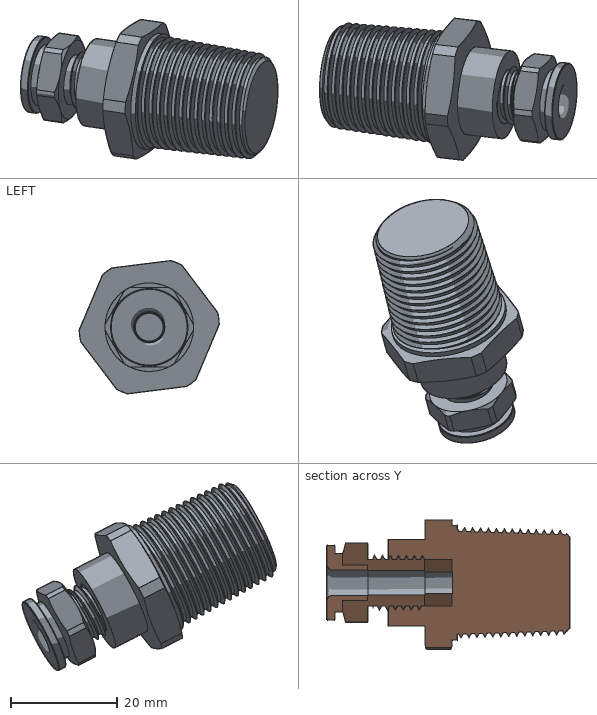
import cadquery as cq
import math

overall_length = 45.9
flange_length = 1.6
sleeve_neck_end = 3.05
stem_head_end = 7.8
stem_thread_start = 8.7
collar_start = 11.6
body_hex_start = 18.55
body_hex_end = 23.7
shoulder_end = 24.65
sleeve_end = stem_head_end
stem_end = body_hex_start
pocket_end = body_hex_end

flange_diameter = 14.6
flange_chamfer = 0.15
neck_diameter = 11.65
sleeve_tube_diameter = 7.6
sleeve_bore = 5.85
sleeve_mouth_radius = 1.0

stem_hex_flats = 15.0
stem_hex_corners = 16.7
stem_front_bevel_angle = 15.0
stem_rear_bevel_angle = 30.0
stem_diameter = 9.5
stem_bore = 5.65
stem_first_crest = 9.15

collar_diameter = 16.7
body_hex_flats = 23.95
body_hex_corners = 26.45
body_hex_face_diameter = 23.8
body_hex_bevel_angle = 15.0
body_hex_tilt = 7.1
shoulder_diameter = 22.05
taper_root_diameter = 19.77
taper_per_side = 1 / 32
end_chamfer = 0.4
body_first_crest = 26.05
seal_bore = 5.28

thread_span = 18.05
thread_span_turns = 12
thread_pitch = thread_span / thread_span_turns
thread_depth = 0.75
thread_crest_width = 0.05
thread_flank_angle = 30.0
thread_embed = 0.15


def axial_cylinder(x_start, x_end, diameter):
    """Cylinder on the X axis between two stations."""
    return cq.Workplane("YZ", origin=(x_start, 0, 0)).circle(diameter / 2).extrude(x_end - x_start)


def revolved(profile):
    """Solid of revolution about X from a list of (x, radius) points."""
    return cq.Workplane("XY").polyline(profile).close().revolve(360, (0, 0, 0), (1, 0, 0))


def bevelled_hex(x_start, x_end, flats, corners, front, rear, tilt):
    """Hexagon bar with turned corners; front and rear are (face diameter, bevel angle) pairs."""
    across_points = flats / math.cos(math.radians(30))
    hexagon = (
        cq.Workplane("YZ", origin=(x_start, 0, 0))
        .polygon(6, across_points)
        .extrude(x_end - x_start)
        .rotate((0, 0, 0), (1, 0, 0), tilt)
    )
    corner_radius = corners / 2
    front_radius = front[0] / 2
    rear_radius = rear[0] / 2
    front_bevel = (corner_radius - front_radius) * math.tan(math.radians(front[1]))
    rear_bevel = (corner_radius - rear_radius) * math.tan(math.radians(rear[1]))
    turned_blank = revolved([
        (x_start, 0),
        (x_start, front_radius),
        (x_start + front_bevel, corner_radius),
        (x_end - rear_bevel, corner_radius),
        (x_end, rear_radius),
        (x_end, 0),
    ])
    return hexagon.intersect(turned_blank)


def helix_turn(start_x, radius, taper):
    """One right-handed turn rising along Z from (radius, 0, start_x); a positive taper narrows it."""
    cone_angle = math.atan(taper)
    slope_pitch = thread_pitch / math.cos(cone_angle)
    semi_angle = -math.degrees(cone_angle) if taper else 360
    return cq.Wire.makeHelix(slope_pitch, slope_pitch, radius, cq.Vector(0, 0, start_x), angle=semi_angle)


def thread_ridge(top_crest_x, turns, root_radius, taper=0.0):
    """Ridge wound on X, starting with its crest at +Z; root_radius applies at the start."""
    crest_half = thread_crest_width / 2
    base_half = crest_half + (thread_depth + thread_embed) * math.tan(math.radians(thread_flank_angle))
    inner_radius = root_radius - thread_embed
    crest_radius = root_radius + thread_depth
    corners = [
        (-base_half, inner_radius),
        (-crest_half, crest_radius),
        (crest_half, crest_radius),
        (base_half, inner_radius),
    ]

    def end_cap(turn):
        outline = [
            cq.Vector(radius - turn * thread_pitch * taper, 0, x + turn * thread_pitch)
            for x, radius in corners
        ]
        return cq.Face.makeFromWires(cq.Wire.makePolygon(outline, close=True))

    faces = [end_cap(0), end_cap(turns)]
    for turn in range(turns):
        advance = turn * thread_pitch
        edges = [helix_turn(x + advance, radius - advance * taper, taper) for x, radius in corners]
        for index, edge in enumerate(edges):
            faces.append(cq.Face.makeRuledSurface(edges[index - 1], edge))
    ridge = cq.Solid.makeSolid(cq.Shell.makeShell(faces))
    laid = ridge.rotate((0, 0, 0), (0, 1, 0), 90).rotate((0, 0, 0), (1, 0, 0), 180)
    return cq.Workplane(laid.translate((top_crest_x, 0, 0)))


def make_sleeve():
    flange = axial_cylinder(0, flange_length, flange_diameter).edges().chamfer(flange_chamfer)
    neck = axial_cylinder(flange_length, sleeve_neck_end, neck_diameter)
    tube = axial_cylinder(sleeve_neck_end, sleeve_end, sleeve_tube_diameter)
    bore = axial_cylinder(0, sleeve_end, sleeve_bore)
    sleeve = flange.union(neck).union(tube).cut(bore)
    mouth = sleeve.faces("<X").edges(cq.selectors.RadiusNthSelector(0))
    return mouth.fillet(sleeve_mouth_radius)


def make_stem_thread():
    """Solid threaded length of the stem, also used to cut the matching hole in the body."""
    first_crest = stem_first_crest - thread_pitch
    turns = math.ceil((stem_end - first_crest) / thread_pitch) + 1
    ridge = thread_ridge(first_crest, turns, stem_diameter / 2)
    core = axial_cylinder(stem_thread_start, stem_end, stem_diameter)
    return core.union(ridge).intersect(axial_cylinder(stem_thread_start, stem_end, stem_hex_flats))


def make_stem(stem_thread):
    head = bevelled_hex(
        sleeve_neck_end,
        stem_head_end,
        stem_hex_flats,
        stem_hex_corners,
        (neck_diameter, stem_front_bevel_angle),
        (stem_hex_flats, stem_rear_bevel_angle),
        0,
    )
    shank = axial_cylinder(stem_head_end, stem_thread_start, stem_diameter)
    bore = axial_cylinder(sleeve_end, stem_end, stem_bore)
    sleeve_seat = axial_cylinder(sleeve_neck_end, sleeve_end, sleeve_tube_diameter)
    return head.union(shank).union(stem_thread).cut(bore).cut(sleeve_seat)


def make_seal():
    ring = axial_cylinder(stem_end, pocket_end, stem_diameter)
    return ring.cut(axial_cylinder(stem_end, pocket_end, seal_bore))


def taper_root_radius(x):
    return taper_root_diameter / 2 - (x - shoulder_end) * taper_per_side


def make_body(stem_thread):
    collar = axial_cylinder(collar_start, body_hex_start, collar_diameter)
    bevel = (body_hex_face_diameter, body_hex_bevel_angle)
    hexagon = bevelled_hex(
        body_hex_start, body_hex_end, body_hex_flats, body_hex_corners, bevel, bevel, -body_hex_tilt
    )
    shoulder = axial_cylinder(body_hex_end, shoulder_end, shoulder_diameter)
    end_radius = taper_root_radius(overall_length) - end_chamfer
    chamfer_rise = shoulder_diameter / 2 - end_radius
    first_crest = body_first_crest - 2 * thread_pitch
    turns = math.ceil((overall_length - first_crest) / thread_pitch) + 1
    ridge = thread_ridge(first_crest, turns, taper_root_radius(first_crest), taper_per_side)
    core = revolved([
        (shoulder_end, 0),
        (shoulder_end, taper_root_radius(shoulder_end)),
        (overall_length, taper_root_radius(overall_length)),
        (overall_length, 0),
    ])
    chamfered_blank = revolved([
        (shoulder_end, 0),
        (shoulder_end, shoulder_diameter / 2),
        (overall_length - chamfer_rise, shoulder_diameter / 2),
        (overall_length, end_radius),
        (overall_length, 0),
    ])
    threaded_end = core.union(ridge).intersect(chamfered_blank)
    pocket = axial_cylinder(collar_start, pocket_end, stem_diameter)
    solid = collar.union(hexagon).union(shoulder).union(threaded_end)
    return solid.cut(pocket).cut(stem_thread)


sleeve = make_sleeve()
stem_thread = make_stem_thread()
stem = make_stem(stem_thread)
seal = make_seal()
body = make_body(stem_thread)

result = cq.Compound.makeCompound([sleeve.val(), stem.val(), seal.val(), body.val()])